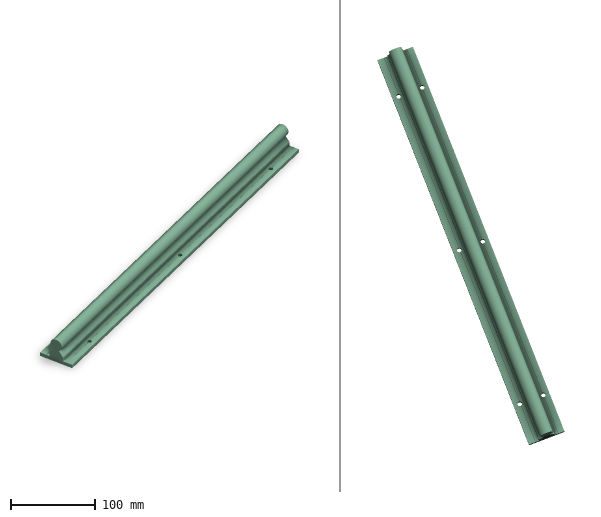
import cadquery as cq
import math

length = 500.0
base_width = 45.0
base_thickness = 5.0

shaft_radius = 8.0
shaft_center_z = 25.0

web_width = 19.5
web_shoulder_z = 10.5
neck_width = 7.0

hole_diameter = 5.5
hole_row_spacing = 30.0
hole_pitch = 200.0
holes_per_row = 3
groove_row_spacing = 29.0
groove_width = 1.0
groove_depth = 0.5


def make_profile():
    """Cross-section in XZ, centred on X, with its underside at Z = 0."""
    half_base = base_width / 2
    half_web = web_width / 2
    half_neck = neck_width / 2
    neck_z = shaft_center_z - math.sqrt(shaft_radius**2 - half_neck**2)
    shaft_top_z = shaft_center_z + shaft_radius
    return (
        cq.Workplane("XZ", origin=(0, length / 2, 0))
        .moveTo(-half_base, 0)
        .lineTo(half_base, 0)
        .lineTo(half_base, base_thickness)
        .lineTo(half_web, base_thickness)
        .lineTo(half_web, web_shoulder_z)
        .lineTo(half_neck, neck_z)
        .threePointArc((0, shaft_top_z), (-half_neck, neck_z))
        .lineTo(-half_web, web_shoulder_z)
        .lineTo(-half_web, base_thickness)
        .lineTo(-half_base, base_thickness)
        .close()
    )


def make_groove(center_x):
    """V-shaped cutter running the full length of a flange top."""
    return (
        cq.Workplane("XZ", origin=(center_x, length / 2, base_thickness))
        .moveTo(-groove_width / 2, 0)
        .lineTo(0, -groove_depth)
        .lineTo(groove_width / 2, 0)
        .close()
        .extrude(length)
    )


def make_holes():
    """Cutters for both rows of holes through the base flanges."""
    return (
        cq.Workplane("XY")
        .rarray(hole_row_spacing, hole_pitch, 2, holes_per_row)
        .circle(hole_diameter / 2)
        .extrude(base_thickness)
    )


result = make_profile().extrude(length)
for side in (-1, 1):
    result = result.cut(make_groove(side * groove_row_spacing / 2))
result = result.cut(make_holes())